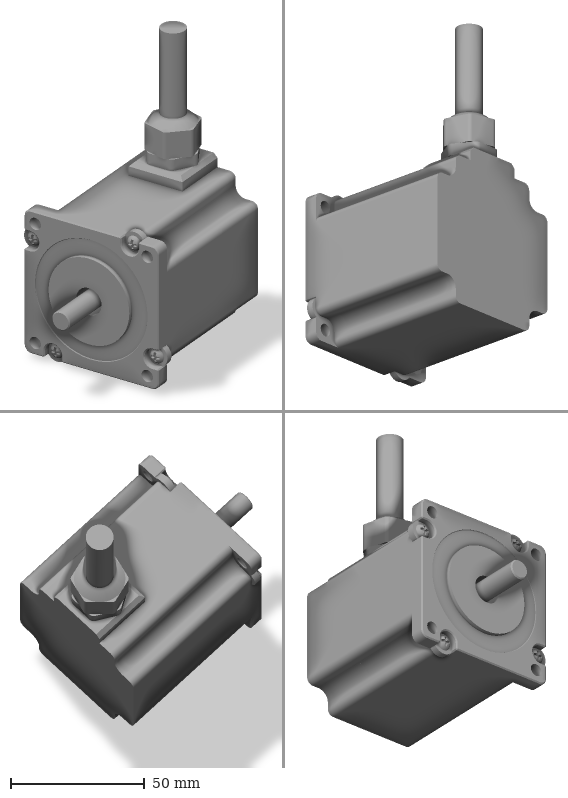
import cadquery as cq
import math


FRAME_WIDTH = 60.0
HALF_WIDTH = FRAME_WIDTH / 2
CORNER_NOTCH = 9.9
NOTCH_INNER_RADIUS = 4.5
NOTCH_OUTER_RADIUS = 2.6

FLANGE_THICKNESS = 5.9
FRONT_BODY_LENGTH = 6.5
STATOR_LENGTH = 31.7
REAR_LENGTH = 24.1
STATOR_FRONT_Y = FLANGE_THICKNESS + FRONT_BODY_LENGTH
REAR_FRONT_Y = STATOR_FRONT_Y + STATOR_LENGTH

FLANGE_CORNER_RADIUS = 2.9
FLANGE_CHAMFER = 0.5
MOUNTING_PITCH = 50.0
MOUNTING_HOLE_DIAMETER = 5.0
PILOT_DIAMETER = 36.0
PILOT_HEIGHT = 1.6
RECESS_DIAMETER = 50.2
RECESS_DEPTH = 0.4
RECESS_TAPER = 0.2

SCREW_COUNT = 4
SCREW_SIDE_OFFSET = 27.3
SCREW_ALONG_OFFSET = 17.1
SCREW_POCKET_RADIUS = 3.8
SCREW_COLLAR_RADIUS = 4.7
SCREW_COLLAR_HEIGHT = 2.8
SCREW_DOME_RADIUS = 3.0
SCREW_DOME_HEIGHT = 1.8
CROSS_LENGTH = 3.8
CROSS_WIDTH = 1.1
CROSS_DEPTH = 1.5

SHAFT_DIAMETER = 8.0
SHAFT_CHAMFER = 0.5
SHAFT_PROJECTION = 19.5
SHAFT_HOLE_DIAMETER = 11.3

OUTLET_WIDTH = 24.0
OUTLET_HEIGHT = 5.6
OUTLET_CHAMFER = 1.7
OUTLET_TOP_Z = HALF_WIDTH + OUTLET_HEIGHT
GLAND_Y = REAR_FRONT_Y + REAR_LENGTH / 2

HEX_ACROSS_FLATS = 19.2
BASE_CORNER_RADIUS = 2.3
NUT_CORNER_RADIUS = 1.7
GLAND_BASE_HEIGHT = 4.8
GLAND_NUT_HEIGHT = 11.1
GLAND_NUT_TURN = 14.8
GLAND_CROWN_HEIGHT = 3.2
GLAND_CROWN_RADIUS = HEX_ACROSS_FLATS / 2
CROWN_BULGE = 0.3
CABLE_DIAMETER = 10.4
CABLE_TOP_Z = 90.5

EDGE_TOLERANCE = 0.1


def along_motor(start_y):
    """Workplane at start_y whose local axes are X and Z; extruding goes toward +Y."""
    plane = cq.Plane(origin=(0, start_y, 0), xDir=(1, 0, 0), normal=(0, -1, 0))
    return cq.Workplane(plane)


def disc(diameter, start_y, length):
    """Cylinder on the motor axis from start_y toward +Y."""
    return along_motor(start_y).circle(diameter / 2).extrude(-length)


def is_notch_root(edge):
    """True for an edge along Y at the inner corner of a frame notch."""
    root = HALF_WIDTH - CORNER_NOTCH
    center = edge.Center()
    return max(abs(abs(center.x) - root), abs(abs(center.z) - root)) < EDGE_TOLERANCE


def is_on_side(edge):
    """True for an edge along Y that lies on a side of the frame or flange."""
    out = max(abs(edge.Center().x), abs(edge.Center().z))
    return abs(out - HALF_WIDTH) < EDGE_TOLERANCE


def frame_section(start_y, length):
    """Stretch of the motor frame: a square bar with a rounded notch along each corner."""
    bar = along_motor(start_y).rect(FRAME_WIDTH, FRAME_WIDTH).extrude(-length)
    notch_pitch = FRAME_WIDTH - CORNER_NOTCH
    notches = (
        along_motor(start_y)
        .rect(notch_pitch, notch_pitch, forConstruction=True)
        .vertices()
        .rect(CORNER_NOTCH, CORNER_NOTCH)
        .extrude(-length)
    )
    bar = bar.cut(notches)
    bar = bar.edges("|Y").filter(is_notch_root).fillet(NOTCH_INNER_RADIUS)
    return bar.edges("|Y").filter(is_on_side).fillet(NOTCH_OUTER_RADIUS)


def around_axis(shape):
    """Copies of a shape, one per screw, evenly spaced around the motor axis."""
    step = 360 / SCREW_COUNT
    return [shape.rotate((0, 0, 0), (0, 1, 0), step * turn) for turn in range(SCREW_COUNT)]


def screw_pocket():
    """Round-ended slot for the screw on the -X side, open to that side of the flange."""
    round_end = (
        along_motor(0)
        .center(-SCREW_SIDE_OFFSET, SCREW_ALONG_OFFSET)
        .circle(SCREW_POCKET_RADIUS)
        .extrude(-FLANGE_THICKNESS)
    )
    mouth = (
        along_motor(0)
        .center(-SCREW_SIDE_OFFSET - SCREW_POCKET_RADIUS, SCREW_ALONG_OFFSET)
        .rect(2 * SCREW_POCKET_RADIUS, 2 * SCREW_POCKET_RADIUS)
        .extrude(-FLANGE_THICKNESS)
    )
    return round_end.union(mouth)


def is_pocket_mouth(edge):
    """True for an edge along Y where a screw pocket opens through a side of the flange."""
    across = min(abs(edge.Center().x), abs(edge.Center().z))
    on_pocket_wall = abs(abs(across - SCREW_ALONG_OFFSET) - SCREW_POCKET_RADIUS) < EDGE_TOLERANCE
    return is_on_side(edge) and on_pocket_wall


def screw_head():
    """Collared dome with a cross recess, seated on the floor of the -X pocket."""
    collar_front_y = FLANGE_THICKNESS - SCREW_COLLAR_HEIGHT
    dome_front_y = collar_front_y - SCREW_DOME_HEIGHT
    seat = along_motor(FLANGE_THICKNESS).center(-SCREW_SIDE_OFFSET, SCREW_ALONG_OFFSET)
    collar = seat.circle(SCREW_COLLAR_RADIUS).extrude(SCREW_COLLAR_HEIGHT)
    sphere_radius = (SCREW_DOME_RADIUS**2 + SCREW_DOME_HEIGHT**2) / (2 * SCREW_DOME_HEIGHT)
    sphere_center = (-SCREW_SIDE_OFFSET, dome_front_y + sphere_radius, SCREW_ALONG_OFFSET)
    sphere = cq.Workplane("XY").sphere(sphere_radius).translate(sphere_center)
    dome_space = seat.circle(SCREW_DOME_RADIUS).extrude(SCREW_COLLAR_HEIGHT + SCREW_DOME_HEIGHT)
    head = collar.union(sphere.intersect(dome_space))
    tip = along_motor(dome_front_y).center(-SCREW_SIDE_OFFSET, SCREW_ALONG_OFFSET)
    for length, height in ((CROSS_LENGTH, CROSS_WIDTH), (CROSS_WIDTH, CROSS_LENGTH)):
        head = head.cut(tip.rect(length, height).extrude(-CROSS_DEPTH))
    return head


def build_front_cover():
    """Mounting flange, pilot, short frame stretch and the four screw heads fixed in it."""
    flange = along_motor(0).rect(FRAME_WIDTH, FRAME_WIDTH).extrude(-FLANGE_THICKNESS)
    flange = flange.edges("|Y").fillet(FLANGE_CORNER_RADIUS)
    for pocket in around_axis(screw_pocket()):
        flange = flange.cut(pocket)
    mouth_edges = flange.edges("|Y").filter(is_pocket_mouth)
    flange = mouth_edges.chamfer(FLANGE_CHAMFER)
    flange = flange.faces("<Y").chamfer(FLANGE_CHAMFER)
    mounting_holes = (
        along_motor(0)
        .rect(MOUNTING_PITCH, MOUNTING_PITCH, forConstruction=True)
        .vertices()
        .circle(MOUNTING_HOLE_DIAMETER / 2)
        .extrude(-FLANGE_THICKNESS)
    )
    flange = flange.cut(mounting_holes)
    recess = disc(RECESS_DIAMETER, 0, RECESS_DEPTH).faces(">Y").chamfer(RECESS_TAPER)
    flange = flange.cut(recess)

    cover = flange.union(frame_section(FLANGE_THICKNESS, FRONT_BODY_LENGTH))
    cover = cover.union(disc(PILOT_DIAMETER, -PILOT_HEIGHT, PILOT_HEIGHT + FLANGE_THICKNESS))
    for head in around_axis(screw_head()):
        cover = cover.union(head)
    shaft_hole = disc(SHAFT_HOLE_DIAMETER, -PILOT_HEIGHT, PILOT_HEIGHT + STATOR_FRONT_Y)
    return cover.cut(shaft_hole)


def build_stator():
    """Plain middle stretch of the frame."""
    return frame_section(STATOR_FRONT_Y, STATOR_LENGTH)


def build_shaft():
    """Round shaft that stands on the stator and passes freely through the front cover."""
    front_y = -PILOT_HEIGHT - SHAFT_PROJECTION
    shaft = disc(SHAFT_DIAMETER, front_y, STATOR_FRONT_Y - front_y)
    return shaft.faces("<Y").chamfer(SHAFT_CHAMFER)


def gland_hexagon(bottom_z, height, corner_radius, turn):
    """Hexagonal prism with rounded corners on the gland axis, turned by an angle in degrees."""
    across_corners = HEX_ACROSS_FLATS / math.cos(math.pi / 6)
    prism = cq.Workplane("XY").polygon(6, across_corners).extrude(height)
    prism = prism.edges("|Z").fillet(corner_radius)
    return prism.rotate((0, 0, 0), (0, 0, 1), turn).translate((0, GLAND_Y, bottom_z))


def cable_outlet():
    """Raised pad on the rear cover, chamfered on all its top edges but the back one."""
    pad = (
        cq.Workplane("XY")
        .center(0, GLAND_Y)
        .rect(OUTLET_WIDTH, REAR_LENGTH)
        .extrude(OUTLET_TOP_Z)
    )
    return pad.faces(">Z").edges("not >Y").chamfer(OUTLET_CHAMFER)


def gland_crown(bottom_z):
    """Slightly bulging cone that closes the gland nut around the cable."""
    cable_radius = CABLE_DIAMETER / 2
    slant = math.hypot(GLAND_CROWN_RADIUS - cable_radius, GLAND_CROWN_HEIGHT)
    middle = (
        (GLAND_CROWN_RADIUS + cable_radius) / 2 + CROWN_BULGE * GLAND_CROWN_HEIGHT / slant,
        GLAND_CROWN_HEIGHT / 2 + CROWN_BULGE * (GLAND_CROWN_RADIUS - cable_radius) / slant,
    )
    crown = (
        cq.Workplane("XZ")
        .lineTo(GLAND_CROWN_RADIUS, 0)
        .threePointArc(middle, (cable_radius, GLAND_CROWN_HEIGHT))
        .lineTo(0, GLAND_CROWN_HEIGHT)
        .close()
        .revolve(360, (0, 0, 0), (0, 1, 0))
    )
    return crown.translate((0, GLAND_Y, bottom_z))


def build_rear_cover():
    """Rear stretch of the frame with its cable outlet, cable gland and cable."""
    nut_bottom_z = OUTLET_TOP_Z + GLAND_BASE_HEIGHT
    nut_top_z = nut_bottom_z + GLAND_NUT_HEIGHT
    cable = (
        cq.Workplane("XY", origin=(0, GLAND_Y, nut_top_z))
        .circle(CABLE_DIAMETER / 2)
        .extrude(CABLE_TOP_Z - nut_top_z)
    )
    cover = frame_section(REAR_FRONT_Y, REAR_LENGTH).union(cable_outlet())
    cover = cover.union(gland_hexagon(OUTLET_TOP_Z, GLAND_BASE_HEIGHT, BASE_CORNER_RADIUS, 0))
    nut = gland_hexagon(nut_bottom_z, GLAND_NUT_HEIGHT, NUT_CORNER_RADIUS, -GLAND_NUT_TURN)
    cover = cover.union(nut)
    return cover.union(gland_crown(nut_top_z)).union(cable)


front_cover = build_front_cover()
stator = build_stator()
rear_cover = build_rear_cover()
shaft = build_shaft()

result = cq.Compound.makeCompound(
    [front_cover.val(), stator.val(), rear_cover.val(), shaft.val()]
)